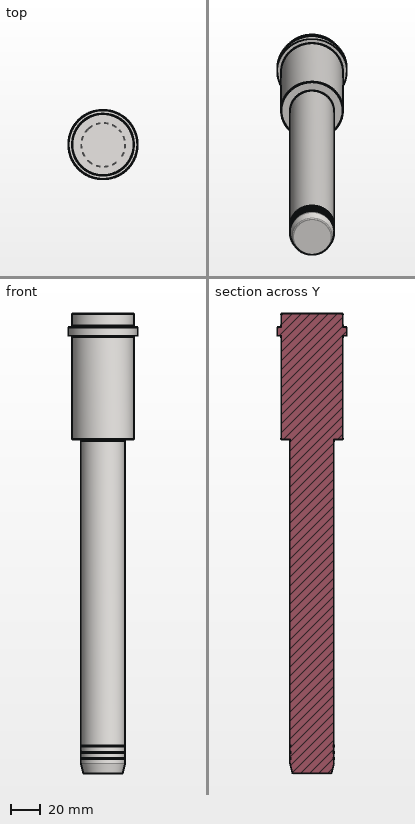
import cadquery as cq

total_length = 310.0
head_height = 9.0
flange_thickness = 6.0
shank_end_depth = 85.0

shaft_diameter = 30.0
shank_diameter = 42.0
flange_diameter = 47.0
nose_tip_diameter = 26.6

nose_height = 7.0
tip_fillet = 0.8
head_chamfer = 0.5
shank_chamfer = 0.5
flange_chamfer = 0.5

undercut_width = 1.0
undercut_depth = 0.25

groove_count = 3
groove_radius = 0.5
groove_pitch = 4.2
first_groove_z = 10.25

shaft_radius = shaft_diameter / 2
shank_radius = shank_diameter / 2
flange_radius = flange_diameter / 2
nose_tip_radius = nose_tip_diameter / 2
shank_bottom_z = total_length - shank_end_depth
flange_top_z = total_length - head_height
flange_bottom_z = flange_top_z - flange_thickness


def make_shaft():
    """Slender guide shaft with a tapered, round-edged nose at its lower end."""
    half_profile = (
        cq.Workplane("XZ")
        .lineTo(nose_tip_radius, 0)
        .lineTo(shaft_radius, nose_height)
        .lineTo(shaft_radius, shank_bottom_z)
        .lineTo(0, shank_bottom_z)
        .close()
    )
    shaft = half_profile.revolve(360, (0, 0, 0), (0, 1, 0))
    return shaft.faces("<Z").edges().fillet(tip_fillet)


def make_shank():
    """Thick mounting shank and head, chamfered at both ends."""
    shank = cq.Workplane("XY").workplane(offset=shank_bottom_z).circle(shank_radius).extrude(shank_end_depth)
    shank = shank.faces("<Z").edges().chamfer(shank_chamfer)
    return shank.faces(">Z").edges().chamfer(head_chamfer)


def make_flange():
    """Locating collar around the shank, chamfered at its upper edge."""
    flange = cq.Workplane("XY").workplane(offset=flange_bottom_z).circle(flange_radius).extrude(flange_thickness)
    return flange.faces(">Z").edges().chamfer(flange_chamfer)


def make_ring(radius, depth, bottom_z, width):
    """Ring that cuts a groove of the given depth into a cylinder of the given radius."""
    return (
        cq.Workplane("XY")
        .workplane(offset=bottom_z)
        .circle(radius + depth)
        .circle(radius - depth)
        .extrude(width)
    )


def cut_undercuts(shaft, shank):
    """Relief grooves next to the shank end and on both sides of the flange."""
    shaft = shaft.cut(make_ring(shaft_radius, undercut_depth, shank_bottom_z - undercut_width, undercut_width))
    shank = shank.cut(make_ring(shank_radius, undercut_depth, flange_bottom_z - undercut_width, undercut_width))
    shank = shank.cut(make_ring(shank_radius, undercut_depth, flange_top_z, undercut_width))
    return shaft, shank


def cut_lubrication_grooves(shaft):
    """Evenly spaced half-round grooves just above the nose."""
    for index in range(groove_count):
        center_z = first_groove_z + index * groove_pitch
        groove = cq.Solid.makeTorus(shaft_radius, groove_radius, cq.Vector(0, 0, center_z))
        shaft = shaft.cut(cq.Workplane(groove))
    return shaft


shaft, shank = cut_undercuts(make_shaft(), make_shank())
shaft = cut_lubrication_grooves(shaft)
result = shaft.union(shank).union(make_flange())